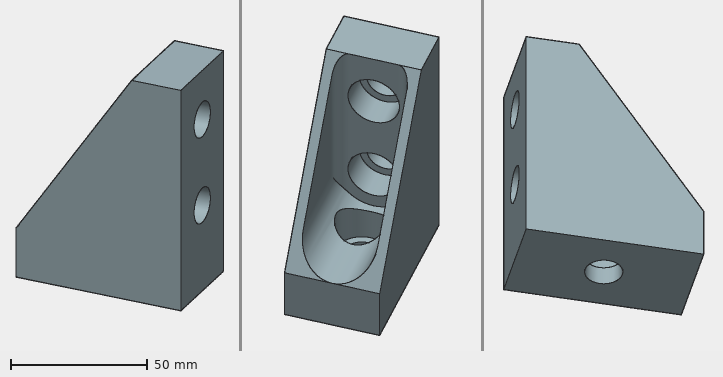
import cadquery as cq

length = 67.0
width = 37.0
height = 90.0
wall = 20.0

pocket_width = 29.0
corner_radius = 5.0
floor_radius = pocket_width / 2
upright_face = length - wall

hole_diameter = 14.0
counterbore_diameter = 20.0
seat_thickness = 7.5
base_hole_x = length / 2
wall_hole_heights = (35.0, 70.0)


def angle_block():
    """Solid bracket with a sloping front, centred on the XZ plane."""
    profile = [
        (0, 0),
        (length, 0),
        (length, height),
        (upright_face, height),
        (0, wall),
    ]
    return cq.Workplane("XZ").polyline(profile).close().extrude(width / 2, both=True)


def pocket():
    """Round-floored channel with rounded corners against the upright wall."""
    axis_height = wall + floor_radius
    upper = cq.Workplane("XY").box(
        upright_face, pocket_width, height - axis_height, centered=(False, True, False)
    ).translate((0, 0, axis_height))
    floor = cq.Workplane("YZ").center(0, axis_height).circle(floor_radius).extrude(upright_face)
    plan = (
        cq.Workplane("XY")
        .box(upright_face, pocket_width, height, centered=(False, True, False))
        .edges("|Z and >X")
        .fillet(corner_radius)
    )
    return upper.union(floor).intersect(plan)


def bolt_cutter(seat_plane, outer_depth, inner_depth):
    """Through hole and counterbore, starting from the bolt head seat."""
    head = seat_plane.circle(counterbore_diameter / 2).extrude(inner_depth)
    shank = seat_plane.circle(hole_diameter / 2).extrude(-outer_depth)
    return head.union(shank)


result = angle_block().cut(pocket())

base_seat = cq.Workplane("XY", origin=(base_hole_x, 0, seat_thickness))
result = result.cut(bolt_cutter(base_seat, seat_thickness, wall + floor_radius - seat_thickness))

for hole_height in wall_hole_heights:
    wall_seat = cq.Workplane(
        cq.Plane(origin=(length - seat_thickness, 0, hole_height), xDir=(0, 1, 0), normal=(-1, 0, 0))
    )
    head_depth = wall - seat_thickness + corner_radius
    result = result.cut(bolt_cutter(wall_seat, seat_thickness, head_depth))